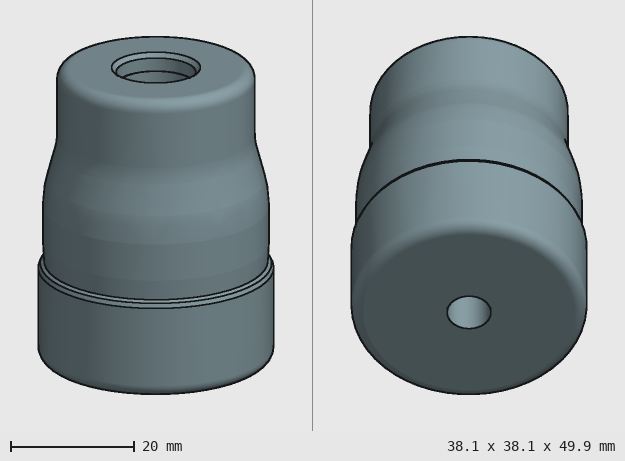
import cadquery as cq
import math

total_height = 49.85
base_radius = 19.05
joint_height = 16.55

base_bottom_round = 2.0
bevel_start_height = 15.4
bevel_break_height = 16.15
bevel_break_radius = 18.7
base_hole_radius = 3.55

sleeve_foot_radius = 18.1
sleeve_radius = 18.3
foot_taper_top = 19.9
shoulder_start = 26.1
shoulder_angle = math.radians(15)
shoulder_round = 18.1
crown_radius = 16.0
neck_round = 10.4
crown_edge_round = 2.0

bore_radius = 6.35
entry_radius = 6.45
entry_depth = 3.0
bore_chamfer = 0.75


def arc_point(center_r, center_z, radius, angle):
    """Point of an arc in the radius-height plane, angle measured from +radius."""
    return (center_r + radius * math.cos(angle), center_z + radius * math.sin(angle))


def vertical_cutter(radius, bottom, height):
    """Round cutter on the common axis."""
    return cq.Workplane("XY").workplane(offset=bottom).circle(radius).extrude(height)


def make_base():
    """Round base with a beveled top edge, a rounded bottom edge and a through hole."""
    body = (
        cq.Workplane("XZ")
        .moveTo(0, 0)
        .lineTo(base_radius, 0)
        .lineTo(base_radius, bevel_start_height)
        .lineTo(bevel_break_radius, bevel_break_height)
        .lineTo(sleeve_foot_radius, joint_height)
        .lineTo(0, joint_height)
        .close()
        .revolve(360, (0, 0, 0), (0, 1, 0))
        .faces("<Z")
        .edges()
        .fillet(base_bottom_round)
    )
    return body.cut(vertical_cutter(base_hole_radius, 0, joint_height))


def make_sleeve_blank():
    """Solid sleeve outline: tapered foot, straight wall, conical shoulder and crown."""
    shoulder_center_r = sleeve_radius - shoulder_round
    shoulder_mid = arc_point(shoulder_center_r, shoulder_start, shoulder_round, shoulder_angle / 2)
    cone_bottom = arc_point(shoulder_center_r, shoulder_start, shoulder_round, shoulder_angle)

    neck_center_r = crown_radius + neck_round
    cone_top_r = neck_center_r - neck_round * math.cos(shoulder_angle)
    cone_top_z = cone_bottom[1] + (cone_bottom[0] - cone_top_r) / math.tan(shoulder_angle)
    crown_start = cone_top_z + neck_round * math.sin(shoulder_angle)
    neck_mid = arc_point(neck_center_r, crown_start, neck_round, math.pi + shoulder_angle / 2)

    return (
        cq.Workplane("XZ")
        .moveTo(0, joint_height)
        .lineTo(sleeve_foot_radius, joint_height)
        .lineTo(sleeve_radius, foot_taper_top)
        .lineTo(sleeve_radius, shoulder_start)
        .threePointArc(shoulder_mid, cone_bottom)
        .lineTo(cone_top_r, cone_top_z)
        .threePointArc(neck_mid, (crown_radius, crown_start))
        .lineTo(crown_radius, total_height)
        .lineTo(0, total_height)
        .close()
        .revolve(360, (0, 0, 0), (0, 1, 0))
        .faces(">Z")
        .edges()
        .fillet(crown_edge_round)
    )


def make_sleeve():
    """Sleeve with a bore down to the base and a chamfered, slightly wider entry."""
    bore = vertical_cutter(bore_radius, joint_height, total_height - joint_height)
    entry = vertical_cutter(entry_radius, total_height - entry_depth, entry_depth)
    countersink = (
        cq.Workplane("XY")
        .workplane(offset=total_height)
        .circle(entry_radius + bore_chamfer)
        .workplane(offset=-bore_chamfer)
        .circle(entry_radius)
        .loft(ruled=True)
    )
    return make_sleeve_blank().cut(bore).cut(entry).cut(countersink)


base = make_base()
sleeve = make_sleeve()

result = cq.Compound.makeCompound([base.solids().val(), sleeve.solids().val()])